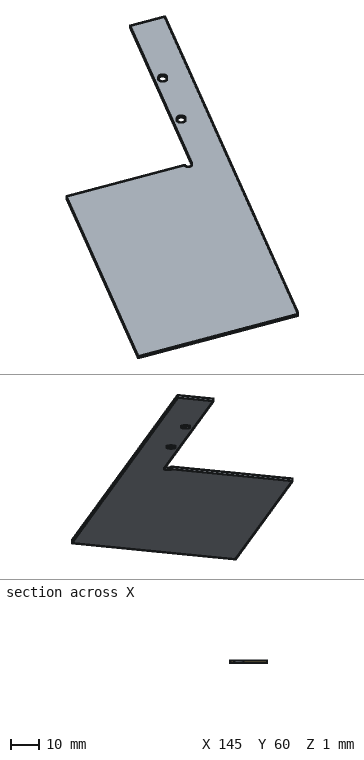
import cadquery as cq

length = 145.0
width = 60.0
thickness = 1.0

arm_length = 67.0
arm_width = 13.0

relief_diameter = 2.6

hole_diameter = 3.2
first_hole_x = 26.5
hole_spacing = 20.0
hole_from_back = 10.0
hole_count = 2

corner_radius = 0.5

arm_front_y = width - arm_width


def cylinder(x, y, diameter):
    """Vertical cutter through the full plate thickness."""
    return cq.Workplane("XY").center(x, y).circle(diameter / 2).extrude(thickness)


plate = (
    cq.Workplane("XY")
    .moveTo(arm_length, 0)
    .lineTo(length, 0)
    .lineTo(length, width)
    .lineTo(0, width)
    .lineTo(0, arm_front_y)
    .lineTo(arm_length, arm_front_y)
    .close()
    .extrude(thickness)
)

plate = plate.edges("|Z and >X and >Y").fillet(corner_radius)

plate = plate.cut(cylinder(arm_length, arm_front_y - relief_diameter / 2, relief_diameter))

for index in range(hole_count):
    hole_x = first_hole_x + index * hole_spacing
    plate = plate.cut(cylinder(hole_x, width - hole_from_back, hole_diameter))

result = plate